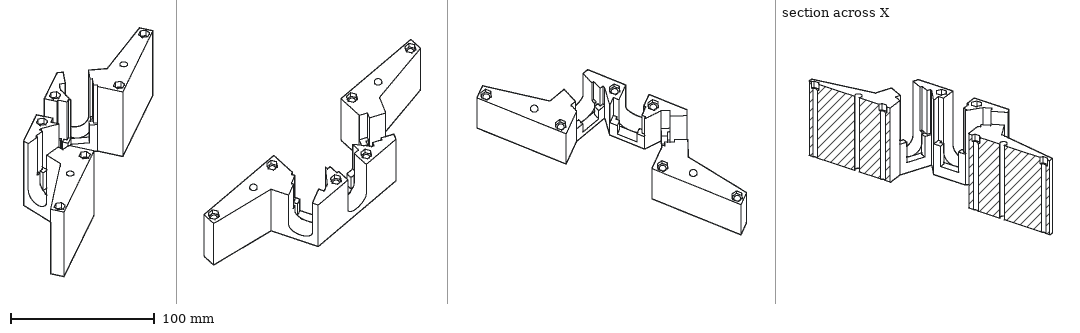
import cadquery as cq
import math

height = 60.0
depth = 49.8
half_length = 100.0

wall_thickness = 18.0
wall_lean = math.radians(25.0)
middle_half_length = 37.5
middle_inner_half_length = 13.2
notch_x = 7.8

arm_root_x = 31.8
arm_tip_x = 40.0
arm_inner_y = 32.5

slot_radius = 8.8
slot_bottom_z = 8.5
side_slot_offset = 13.2

pocket_half_width = 13.0
pocket_floor_z = 24.8
pocket_start = 12.0
pocket_far_half_width = 10.5
slit_start = 9.5
lip_start = 16.2
groove_width = 1.8
window_half_width = 7.5

screw_diameter = 4.8
plain_diameter = 5.2
nut_across_flats = 6.8
nut_depth = 5.0
middle_nut = (6.0, 14.5)
arm_nuts = [(45.0, 38.5), (45.0, 95.0)]
arm_plain_hole = (41.5, 60.2)


def both_sides(points):
    """The points and their mirror images across the XZ plane."""
    return points + [(x, -y) for x, y in points]


def body():
    """The plate outline, mirrored about the XZ plane, at full height."""
    slope = math.tan(wall_lean)
    inner_face_y = middle_half_length - wall_thickness / math.cos(wall_lean)
    half_outline = [
        (wall_thickness, middle_inner_half_length),
        (notch_x, inner_face_y + notch_x * slope),
        ((arm_inner_y - inner_face_y) / slope, arm_inner_y),
        (depth, arm_inner_y),
        (depth, half_length),
        (arm_tip_x, half_length),
        (arm_root_x, middle_half_length + arm_root_x * slope),
        (0, middle_half_length),
    ]
    other_half = [(x, -y) for x, y in reversed(half_outline)]
    return cq.Workplane("XY").polyline(half_outline + other_half).close().extrude(height)


def box_between(x_range, y_range, z_range):
    """An axis-aligned box given its start and end along each axis."""
    starts, ends = zip(x_range, y_range, z_range)
    sizes = [end - start for start, end in zip(starts, ends)]
    return cq.Workplane("XY").box(*sizes, centered=False).translate(starts)


def slot_cutter():
    """Slot and pocket for a wall whose outer face lies on X = 0, centred on Y = 0."""
    arc_z = slot_bottom_z + slot_radius
    slot = (
        cq.Workplane("YZ")
        .moveTo(-slot_radius, height)
        .lineTo(-slot_radius, arc_z)
        .threePointArc((0, slot_bottom_z), (slot_radius, arc_z))
        .lineTo(slot_radius, height)
        .close()
        .extrude(pocket_start)
    )
    upper = (pocket_floor_z, height)
    lower = (slot_bottom_z, height)
    pocket = box_between((pocket_start, wall_thickness), (-pocket_half_width, pocket_far_half_width), upper)
    slit = box_between((slit_start, pocket_start), (0, pocket_far_half_width), upper)
    lip = box_between((lip_start, wall_thickness), (0, pocket_half_width), upper)
    groove = box_between(
        (pocket_start, pocket_start + groove_width),
        (-pocket_far_half_width, pocket_far_half_width),
        lower,
    )
    window = box_between((pocket_start, wall_thickness), (-window_half_width, window_half_width), lower)
    return slot.union(pocket).union(slit).union(lip).union(groove).union(window)


def cut_slots(part):
    """Cut the same slot into the middle wall and both side walls."""
    cutter = slot_cutter()
    part = part.cut(cutter)
    slot_x = side_slot_offset * math.cos(wall_lean)
    slot_y = middle_half_length + side_slot_offset * math.sin(wall_lean)
    turn = 90 - math.degrees(wall_lean)
    for side in (1, -1):
        turned = cutter.rotate((0, 0, 0), (0, 0, 1), -side * turn)
        part = part.cut(turned.translate((slot_x, side * slot_y, 0)))
    return part


def cut_holes(part):
    """Through holes, with hexagonal nut seats in the top of the screw holes."""
    screw_points = both_sides([middle_nut] + arm_nuts)
    screws = cq.Workplane("XY").pushPoints(screw_points).circle(screw_diameter / 2).extrude(height)
    plain_points = both_sides([arm_plain_hole])
    plain = cq.Workplane("XY").pushPoints(plain_points).circle(plain_diameter / 2).extrude(height)
    corner_radius = nut_across_flats / math.sqrt(3)
    hexagon = [
        (corner_radius * math.sin(math.radians(60 * i)), corner_radius * math.cos(math.radians(60 * i)))
        for i in range(6)
    ]
    nut = cq.Workplane("XY").polyline(hexagon).close().extrude(nut_depth)
    for x, y in screw_points:
        part = part.cut(nut.translate((x, y, height - nut_depth)))
    return part.cut(screws).cut(plain)


result = cut_holes(cut_slots(body()))